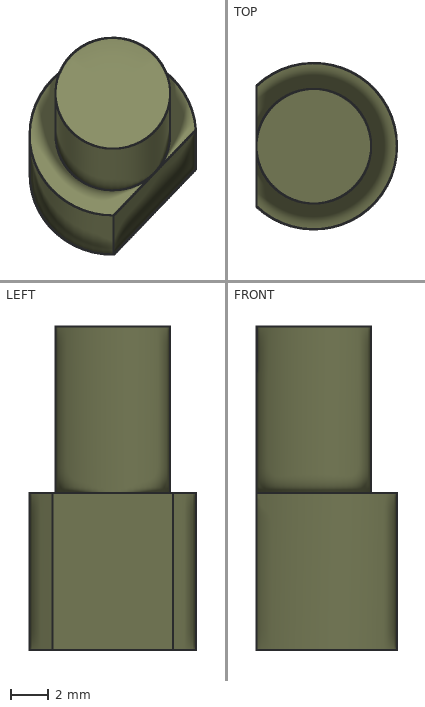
import cadquery as cq

body_diameter = 9.0
body_height = 8.5
pin_diameter = 6.2
pin_height = 9.0

flat_distance = pin_diameter / 2


def make_body():
    """Round body standing on Z = 0, cut by a full-height flat on the -X side."""
    cylinder = cq.Workplane("XY").circle(body_diameter / 2).extrude(body_height)
    beyond_flat = (
        cq.Workplane("XY")
        .center(-flat_distance - body_diameter / 2, 0)
        .rect(body_diameter, 2 * body_diameter)
        .extrude(body_height)
    )
    return cylinder.cut(beyond_flat)


def make_pin():
    """Plain pin on top of the body, on the same axis."""
    return (
        cq.Workplane("XY")
        .workplane(offset=body_height)
        .circle(pin_diameter / 2)
        .extrude(pin_height)
    )


result = make_body().union(make_pin())